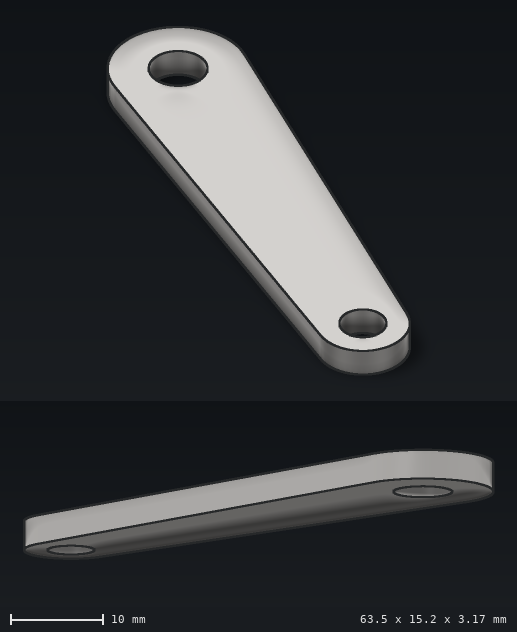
import cadquery as cq
import math

THICKNESS = 3.175
HOLE_SPACING = 50.8
LARGE_END_RADIUS = 7.62
SMALL_END_RADIUS = 5.08
LARGE_HOLE_DIAMETER = 6.35
SMALL_HOLE_DIAMETER = 5.08

taper_angle = math.asin((LARGE_END_RADIUS - SMALL_END_RADIUS) / HOLE_SPACING)


def tangent_point(center_x, radius):
    """Point where the upper straight side touches an end circle."""
    return (
        center_x + radius * math.sin(taper_angle),
        radius * math.cos(taper_angle),
    )


def mirrored(point):
    """Reflect a point across the link's centreline (the X axis)."""
    return (point[0], -point[1])


def make_link_body():
    """Tapered plate with a round end centred on each hole."""
    large_tangent = tangent_point(0, LARGE_END_RADIUS)
    small_tangent = tangent_point(HOLE_SPACING, SMALL_END_RADIUS)
    large_tip = (-LARGE_END_RADIUS, 0)
    small_tip = (HOLE_SPACING + SMALL_END_RADIUS, 0)
    return (
        cq.Workplane("XY")
        .moveTo(*large_tangent)
        .lineTo(*small_tangent)
        .threePointArc(small_tip, mirrored(small_tangent))
        .lineTo(*mirrored(large_tangent))
        .threePointArc(large_tip, large_tangent)
        .close()
        .extrude(THICKNESS)
    )


def make_through_hole(center_x, diameter):
    """Cylinder that cuts a hole through the full plate thickness."""
    return cq.Workplane("XY").center(center_x, 0).circle(diameter / 2).extrude(THICKNESS)


result = (
    make_link_body()
    .cut(make_through_hole(0, LARGE_HOLE_DIAMETER))
    .cut(make_through_hole(HOLE_SPACING, SMALL_HOLE_DIAMETER))
)